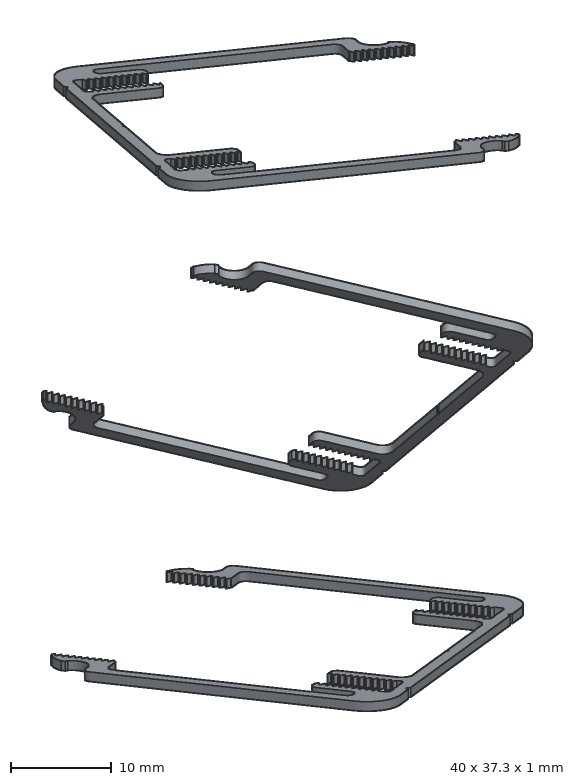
import cadquery as cq
import math

width = 40.0
height = 37.3
thickness = 1.0
left = -width / 2
bottom = -height / 2
top = bottom + height

wall = 1.5
floor = 1.4
corner_radius = 3.5
shoulder_radius = 0.8

tooth_run = 7.0
tooth_spacing_count = 10
pitch = tooth_run / tooth_spacing_count
tooth_depth = 0.45
tip_flat = pitch / 8
half_tooth_angle = 30
flank_rise = tooth_depth * math.tan(math.radians(half_tooth_angle))
tooth_overlap = 0.2
teeth_per_strip = 10

tab_thickness = 1.2
channel_width = 4.0
tab_height = 9.4
tab_tip_radius = 0.7
channel_radius = 0.5
inner_corner_radius = 1.2
first_tab_tooth_drop = 0.3
slot_width = 1.5
slot_floor_height = 4.45
slot_radius = 0.6
outer_tab_outside = left + wall + slot_width
outer_tab_root = outer_tab_outside + tab_thickness
inner_tab_root = outer_tab_root + channel_width
inner_tab_outside = inner_tab_root + tab_thickness
tab_top = bottom + tab_height
floor_top = bottom + floor
slot_floor = bottom + slot_floor_height

clip_root = outer_tab_root
foot_height = 30.5
shoulder_height = 32.4
foot_bottom = bottom + foot_height
shoulder_top = bottom + shoulder_height
foot_radius = 0.8
neck_radius = 1.7
neck_center = (left + 1.5, shoulder_top + neck_radius)
neck_end_angle = math.radians(36)
head_side = left + 2.6
head_side_top = top - 1.7
head_side_bottom = top - 2.1
head_radius = 3.0
first_clip_tooth_drop = 0.15

bottom_groove_x = left + 6.1
bottom_groove_depth = 0.3
center_groove_depth = 0.15


def neck_point(angle):
    """Point on the neck circle, angle measured from +X."""
    return (
        neck_center[0] + neck_radius * math.cos(angle),
        neck_center[1] + neck_radius * math.sin(angle),
    )


def fillet_at(body, x, y, radius):
    """Round the vertical edge that passes through (x, y)."""
    corner_edge = cq.selectors.NearestToPointSelector((x, y, thickness / 2))
    return body.edges("|Z").edges(corner_edge).fillet(radius)


def half_frame():
    """Left half of the profile without teeth and grooves."""
    body = (
        cq.Workplane("XY")
        .moveTo(0, bottom)
        .lineTo(left, bottom)
        .lineTo(left, shoulder_top)
        .lineTo(neck_center[0], shoulder_top)
        .threePointArc(neck_point(0), neck_point(neck_end_angle))
        .lineTo(head_side, head_side_bottom)
        .lineTo(head_side, head_side_top)
        .radiusArc((clip_root, top), head_radius)
        .lineTo(clip_root, foot_bottom)
        .lineTo(left + wall, foot_bottom)
        .lineTo(left + wall, slot_floor)
        .lineTo(outer_tab_outside, slot_floor)
        .lineTo(outer_tab_outside, tab_top)
        .lineTo(outer_tab_root, tab_top)
        .lineTo(outer_tab_root, floor_top)
        .lineTo(inner_tab_root, floor_top)
        .lineTo(inner_tab_root, tab_top)
        .lineTo(inner_tab_outside, tab_top)
        .lineTo(inner_tab_outside, floor_top)
        .lineTo(0, floor_top)
        .close()
        .extrude(thickness)
    )
    rounded_corners = [
        (left, bottom, corner_radius),
        (left, shoulder_top, shoulder_radius),
        (left + wall, foot_bottom, foot_radius),
        (left + wall, slot_floor, slot_radius),
        (outer_tab_outside, slot_floor, slot_radius),
        (outer_tab_outside, tab_top, tab_tip_radius),
        (outer_tab_root, floor_top, channel_radius),
        (inner_tab_root, floor_top, channel_radius),
        (inner_tab_outside, tab_top, tab_tip_radius),
        (inner_tab_outside, floor_top, inner_corner_radius),
    ]
    for x, y, radius in rounded_corners:
        body = fillet_at(body, x, y, radius)
    return body


def tooth_strip(root_x, direction, first_y, count, limit_y):
    """Teeth pointing along direction (+1 or -1), stepping down from first_y, cut off above limit_y."""
    half_tip = tip_flat / 2
    half_root = half_tip + flank_rise
    back_x = root_x - direction * tooth_overlap
    tip_x = root_x + direction * tooth_depth
    strip = cq.Workplane("XY")
    for index in range(count):
        y = first_y - index * pitch
        tooth = (
            cq.Workplane("XY")
            .polyline([
                (back_x, y - half_root),
                (root_x, y - half_root),
                (tip_x, y - half_tip),
                (tip_x, y + half_tip),
                (root_x, y + half_root),
                (back_x, y + half_root),
            ])
            .close()
            .extrude(thickness)
        )
        strip = strip.add(tooth)
    strip = strip.combine()
    trim = cq.Workplane("XY").box(width, height, thickness, centered=(True, False, False))
    return strip.cut(trim.translate((0, limit_y, 0)))


def groove(x, y, depth):
    """V groove with 45 degree sides, from a face at y into the material; negative depth cuts down."""
    half_width = abs(depth)
    return (
        cq.Workplane("XY")
        .polyline([(x - half_width, y), (x + half_width, y), (x, y + depth)])
        .close()
        .extrude(thickness)
    )


first_tab_tooth = tab_top - first_tab_tooth_drop
half = (
    half_frame()
    .union(tooth_strip(clip_root, 1, top - first_clip_tooth_drop, teeth_per_strip, top))
    .union(tooth_strip(outer_tab_root, 1, first_tab_tooth, teeth_per_strip, tab_top))
    .union(tooth_strip(inner_tab_root, -1, first_tab_tooth + pitch / 2, teeth_per_strip + 1, tab_top))
    .cut(groove(bottom_groove_x, bottom, bottom_groove_depth))
)

result = half.union(half.mirror("YZ")).cut(groove(0, floor_top, -center_groove_depth))